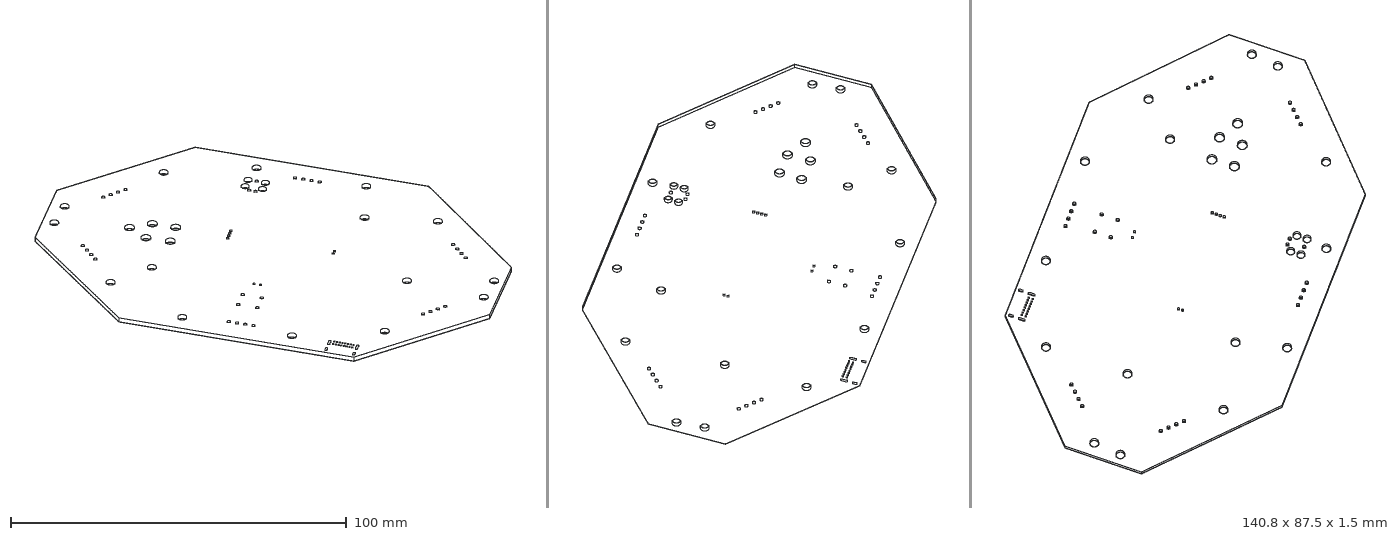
import cadquery as cq
import math

board_length = 140.8
board_width = 87.5
board_thickness = 1.5
back_edge_left_x = -36.3
back_edge_right_x = 35.9
front_edge_left_x = -35.6
front_edge_right_x = 37.0
left_edge_back_y = 12.1
left_edge_front_y = -12.0
right_edge_back_y = 11.7
right_edge_front_y = -12.5

pattern_origin = (0.21, 0.21, 0.0)

mounting_diameter = 2.7
mounting_holes = [
    (-16.2, 38.6),
    (17.7, 38.6),
    (-42.2, 29.0),
    (43.0, 27.6),
    (-66.2, 4.9),
    (67.0, 3.7),
]

locating_holes = [(21.4, 23.5), (42.0, -3.2), (-33.1, -17.2)]

large_diameter = 3.0
large_holes = [(-44.8, 0.0), (-38.7, 3.7), (-38.7, -3.5), (-31.5, 3.8), (-31.3, -3.2)]

header_pins = 4
header_pitch = 2.5
header_pin_diameter = 1.0
edge_header_y = 36.9
slanted_header_y = 15.0
left_slanted_header_x = -53.6
right_slanted_header_x = 53.1
slanted_header_angle = 45.0

socket_center = (-14.4, 30.5)
socket_contact_spacing_x = 5.4
socket_contact_spacing_y = 3.2
socket_contact_diameter = 2.4
socket_pin_diameter = 1.0
socket_top_pin_offset = 1.7
socket_bottom_pins = 2
socket_bottom_pin_offset = -3.2
socket_bottom_pin_pitch = 2.0

component_center = (-0.4, -25.5)
component_spacing_x = 5.9
component_spacing_y = 5.0
component_pin_diameter = 1.0

pair_center = (-0.5, -16.9)
pair_pins = 2
pair_pitch = 2.0
pair_pin_diameter = 0.65

fine_strip_pitch = 1.3
left_strip_center = (-15.2, 4.6)
left_strip_pins = 4
right_strip_center = (17.2, 4.5)
right_strip_pins = 2
left_strip_pin_diameter = 0.75
right_strip_pin_diameter = 0.65

connector_x = 32.1
contact_diameter = 0.4
contact_count = 8
contact_pitch = 0.8
contact_rows_y = (-38.0, -39.3)
slot_columns = 2
slot_column_spacing = 8.6
slot_width = 0.65
long_slot_y = -38.9
long_slot_length = 2.1
short_slot_y = -42.2
short_slot_length = 1.4


def half_turn(points):
    """Points turned by 180 degrees about the pattern origin."""
    return [(-x, -y) for x, y in points]


def pin_row(center, count, pitch, angle=0.0):
    """Evenly spaced points centred on a point, along a direction in degrees."""
    direction_x = math.cos(math.radians(angle))
    direction_y = math.sin(math.radians(angle))
    offsets = [(i - (count - 1) / 2) * pitch for i in range(count)]
    return [(center[0] + d * direction_x, center[1] + d * direction_y) for d in offsets]


def pin_rectangle(center, spacing_x, spacing_y):
    """The four corners of a rectangle centred on a point."""
    return [
        (center[0] + side_x * spacing_x / 2, center[1] + side_y * spacing_y / 2)
        for side_x in (-1, 1)
        for side_y in (-1, 1)
    ]


def make_board():
    half_length = board_length / 2
    half_width = board_width / 2
    outline = [
        (back_edge_left_x, half_width),
        (back_edge_right_x, half_width),
        (half_length, right_edge_back_y),
        (half_length, right_edge_front_y),
        (front_edge_right_x, -half_width),
        (front_edge_left_x, -half_width),
        (-half_length, left_edge_front_y),
        (-half_length, left_edge_back_y),
    ]
    return cq.Workplane("XY").polyline(outline).close().extrude(board_thickness)


def drill(board, points, diameter):
    """Cut round holes through the full thickness."""
    plane = cq.Workplane("XY", origin=pattern_origin)
    drills = plane.pushPoints(points).circle(diameter / 2).extrude(board_thickness)
    return board.cut(drills)


def cut_slots(board, points, length):
    """Cut round-ended slots, long along Y, through the full thickness."""
    plane = cq.Workplane("XY", origin=pattern_origin)
    slots = plane.pushPoints(points).slot2D(length, slot_width, 90).extrude(board_thickness)
    return board.cut(slots)


def add_headers(board):
    slanted_headers = [
        (left_slanted_header_x, slanted_header_y, slanted_header_angle),
        (right_slanted_header_x, slanted_header_y, -slanted_header_angle),
    ]
    pins = pin_row((0, edge_header_y), header_pins, header_pitch)
    for x, y, angle in slanted_headers:
        pins += pin_row((x, y), header_pins, header_pitch, angle)
    return drill(board, pins + half_turn(pins), header_pin_diameter)


def add_socket(board):
    x, y = socket_center
    contacts = pin_rectangle(socket_center, socket_contact_spacing_x, socket_contact_spacing_y)
    pins = [(x, y + socket_top_pin_offset)]
    pins += pin_row((x, y + socket_bottom_pin_offset), socket_bottom_pins, socket_bottom_pin_pitch)
    board = drill(board, contacts, socket_contact_diameter)
    return drill(board, pins, socket_pin_diameter)


def add_component(board):
    pins = pin_rectangle(component_center, component_spacing_x, component_spacing_y)
    board = drill(board, pins, component_pin_diameter)
    return drill(board, pin_row(pair_center, pair_pins, pair_pitch), pair_pin_diameter)


def add_fine_strips(board):
    left_pins = pin_row(left_strip_center, left_strip_pins, fine_strip_pitch, 90)
    right_pins = pin_row(right_strip_center, right_strip_pins, fine_strip_pitch, 90)
    board = drill(board, left_pins, left_strip_pin_diameter)
    return drill(board, right_pins, right_strip_pin_diameter)


def add_edge_connector(board):
    for row_y in contact_rows_y:
        contacts = pin_row((connector_x, row_y), contact_count, contact_pitch)
        board = drill(board, contacts, contact_diameter)
    for slot_y, length in ((long_slot_y, long_slot_length), (short_slot_y, short_slot_length)):
        board = cut_slots(board, pin_row((connector_x, slot_y), slot_columns, slot_column_spacing), length)
    return board


board = make_board()
board = drill(board, mounting_holes + half_turn(mounting_holes) + locating_holes, mounting_diameter)
board = drill(board, large_holes, large_diameter)
board = add_headers(board)
board = add_socket(board)
board = add_component(board)
board = add_fine_strips(board)
result = add_edge_connector(board)